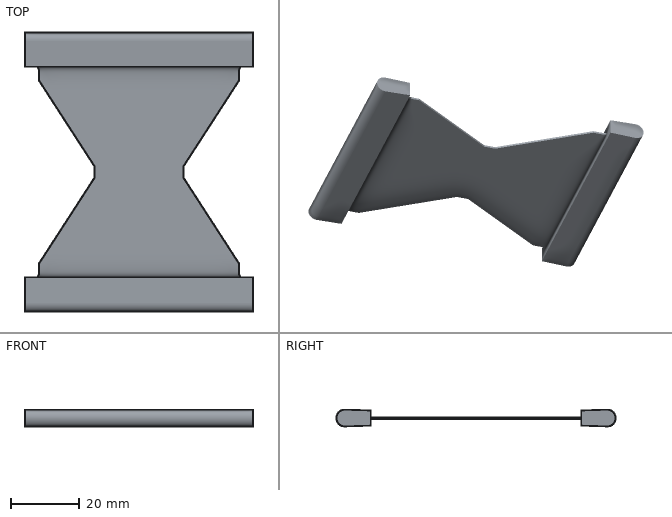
import cadquery as cq

length = 82.0
width = 67.0
bar_height = 5.0

bar_depth = 10.2
inner_height = 4.5
nose_radius = bar_height / 2

web_thickness = 0.6
web_half_width = 29.35
neck_half_width = 13.1
neck_half_length = 1.7
shoulder_y = 26.8
flare_width = 0.4
flare_length = 1.0

outer_y = length / 2
inner_y = outer_y - bar_depth


def make_bar():
    """Bar at the +Y end, extruded along X."""
    nose_start_y = outer_y - nose_radius
    return (
        cq.Workplane("YZ")
        .moveTo(inner_y, -inner_height / 2)
        .lineTo(nose_start_y, -nose_radius)
        .threePointArc((outer_y, 0), (nose_start_y, nose_radius))
        .lineTo(inner_y, inner_height / 2)
        .close()
        .extrude(width / 2, both=True)
    )


def make_web():
    """Hourglass sheet, flaring slightly where it meets each bar."""
    quarter = [
        (neck_half_width, neck_half_length),
        (web_half_width, shoulder_y),
        (web_half_width, inner_y - flare_length),
        (web_half_width + flare_width, inner_y),
    ]
    right_side = [(x, -y) for x, y in reversed(quarter)] + quarter
    left_side = [(-x, y) for x, y in reversed(right_side)]
    return (
        cq.Workplane("XY")
        .polyline(right_side + left_side)
        .close()
        .extrude(web_thickness / 2, both=True)
    )


bar = make_bar()
result = make_web().union(bar).union(bar.mirror("XZ"))